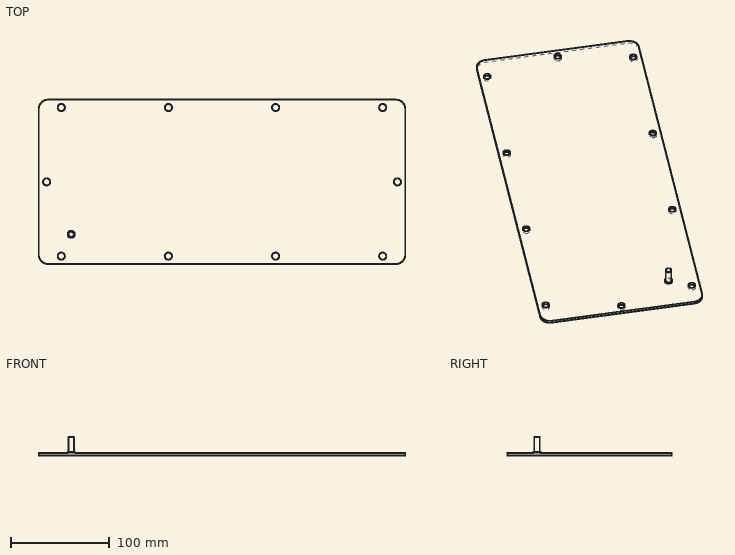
import cadquery as cq

length = 372.0
width = 167.0
thickness = 3.0
corner_radius = 10.0

hole_diameter = 7.0
edge_distance = 8.0
row_spacing = 108.5
holes_per_row = 4

total_height = 19.0
stud_x = -153.0
stud_y = -53.2
stud_diameter = 6.0
tip_chamfer = 0.5
collar_diameter = 7.5
collar_height = 1.0


def make_plate():
    plate = cq.Workplane("XY").rect(length, width).extrude(thickness)
    return plate.edges("|Z").fillet(corner_radius)


def hole_positions():
    row_y = width / 2 - edge_distance
    end_x = length / 2 - edge_distance
    first_x = -row_spacing * (holes_per_row - 1) / 2
    positions = [(-end_x, 0), (end_x, 0)]
    for index in range(holes_per_row):
        x = first_x + index * row_spacing
        positions += [(x, -row_y), (x, row_y)]
    return positions


def make_stud():
    base = cq.Workplane("XY").center(stud_x, stud_y)
    shank = base.circle(stud_diameter / 2).extrude(total_height).faces(">Z").chamfer(tip_chamfer)
    collar = base.circle(collar_diameter / 2).extrude(thickness + collar_height)
    return shank.union(collar)


plate = make_plate().faces(">Z").workplane().pushPoints(hole_positions()).hole(hole_diameter)
result = plate.union(make_stud())